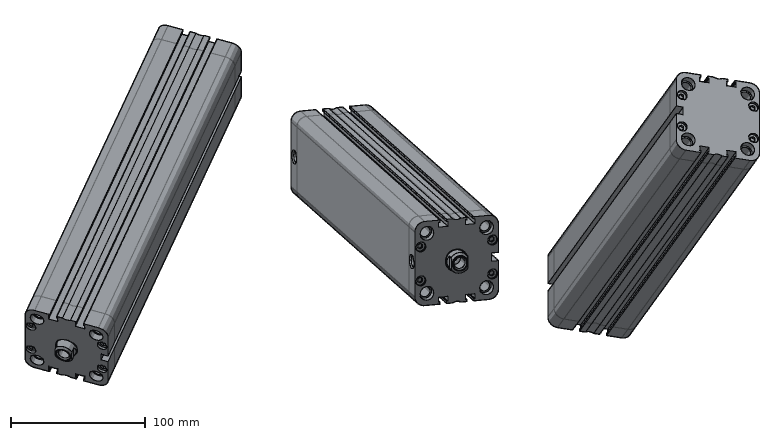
import cadquery as cq
import math


total_length = 303.0
side = 65.5
half = side / 2
corner_radius = 7.5
rod_reach = 7.5
housing_length = total_length - rod_reach
cap_length = 14.5

slot_spacing = 21.2
slot_mouth = 5.5
slot_width = 7.3
slot_lip = 1.8
slot_depth = 5.5

groove_width = 6.5
groove_depth = 1.0

side_slot_width = 6.5
side_slot_depth = 5.5

mount_spacing = 46.7
mount_recess_diameter = 10.5
mount_recess_depth = 5.5
mount_thread_diameter = 8.2
mount_thread_depth = 21.2
mount_through_diameter = 6.7

screw_spacing_x = 56.0
screw_spacing_z = 26.5
screw_recess_diameter = 7.5
screw_recess_depth = 2.0
screw_socket_width = 3.5
screw_socket_depth = 1.8

port_inset = 8.0
port_mouth_diameter = 10.5
port_diameter = 8.5
port_chamfer = (port_mouth_diameter - port_diameter) / 2
port_depth = 9.0
passage_diameter = 3.5
passage_offset = 2.0
passage_depth = 4.5

rod_diameter = 16.0
rod_insert = cap_length
bore_mouth_diameter = 17.3
bore_mouth_depth = 1.2
tip_diameter = 12.0
tip_chamfer_length = 1.2
flat_distance = 13.0
flat_length = 5.0
rod_thread_diameter = 8.5
rod_thread_mouth = 10.5
rod_thread_depth = 12.0
thread_tip_length = 1.2
thread_tip_diameter = 3.5

along_y = cq.Vector(0, 1, 0)


def cylinder_y(diameter, start, length, x=0.0, z=0.0):
    """Cylinder along +Y that begins at Y = start."""
    base = cq.Vector(x, start, z)
    return cq.Workplane(cq.Solid.makeCylinder(diameter / 2, length, base, along_y))


def cone_y(start_diameter, end_diameter, start, length):
    """Cone along +Y on the rod axis."""
    base = cq.Vector(0, start, 0)
    return cq.Workplane(cq.Solid.makeCone(start_diameter / 2, end_diameter / 2, length, base, along_y))


def block(x0, x1, y0, y1, z0, z1):
    """Box between two opposite corners."""
    return cq.Workplane().box(x1 - x0, y1 - y0, z1 - z0, centered=False).translate((x0, y0, z0))


def ends(shape):
    """The shape at the front end and its mirror image at the back end."""
    middle = (0, housing_length / 2, 0)
    return [shape, shape.mirror("XZ", middle)]


def make_section(start, end):
    """Length of housing between two Y positions, with the round groove on its top and bottom."""
    section = block(-half, half, start, end, -half, half).edges("|Y").fillet(corner_radius)
    groove = (
        cq.Workplane("XZ", origin=(0, start, 0))
        .moveTo(-groove_width / 2, half)
        .threePointArc((0, half - groove_depth), (groove_width / 2, half))
        .close()
        .extrude(start - end)
    )
    return section.cut(groove).cut(groove.mirror("XY"))


def slot_cutters():
    """Sensor slots on the top and bottom and the plain side slot, all over the full housing length."""
    floor = half - slot_depth
    cutters = []
    for x in (-slot_spacing / 2, slot_spacing / 2):
        mouth = block(x - slot_mouth / 2, x + slot_mouth / 2, 0, housing_length, floor, half)
        undercut = block(x - slot_width / 2, x + slot_width / 2, 0, housing_length, floor, half - slot_lip)
        slot = mouth.union(undercut)
        cutters += [slot, slot.mirror("XY")]
    cutters.append(block(half - side_slot_depth, half, 0, housing_length,
                         -side_slot_width / 2, side_slot_width / 2))
    return cutters


def mount_hole_cutters():
    """Stepped hole at each corner."""
    cutters = []
    for x in (-mount_spacing / 2, mount_spacing / 2):
        for z in (-mount_spacing / 2, mount_spacing / 2):
            cutters.append(cylinder_y(mount_through_diameter, 0, housing_length, x, z))
            cutters += ends(cylinder_y(mount_thread_diameter, 0, mount_thread_depth, x, z))
            cutters += ends(cylinder_y(mount_recess_diameter, 0, mount_recess_depth, x, z))
    return cutters


def hex_socket_y(x, z):
    """Hexagonal socket below a cap screw recess, with corners toward +Z and -Z."""
    across_corners = screw_socket_width / math.cos(math.pi / 6)
    return (
        cq.Workplane("XZ", origin=(x, 0, z))
        .transformed(rotate=(0, 0, 90))
        .polygon(6, across_corners)
        .extrude(-screw_recess_depth - screw_socket_depth)
    )


def screw_cutters():
    """Recess and hexagonal socket of each cap screw."""
    cutters = []
    for x in (-screw_spacing_x / 2, screw_spacing_x / 2):
        for z in (-screw_spacing_z / 2, screw_spacing_z / 2):
            cutters += ends(cylinder_y(screw_recess_diameter, 0, screw_recess_depth, x, z))
            cutters += ends(hex_socket_y(x, z))
    return cutters


def port_cutters():
    """Chamfered blind port with an air passage in its floor, set toward the middle of the housing."""
    inward = cq.Vector(1, 0, 0)
    mouth = cq.Vector(-half, port_inset, 0)
    passage_start = cq.Vector(-half + port_depth, port_inset + passage_offset, 0)
    solids = [
        cq.Solid.makeCylinder(port_diameter / 2, port_depth, mouth, inward),
        cq.Solid.makeCone(port_mouth_diameter / 2, port_diameter / 2, port_chamfer, mouth, inward),
        cq.Solid.makeCylinder(passage_diameter / 2, passage_depth, passage_start, inward),
    ]
    cutters = []
    for solid in solids:
        cutters += ends(cq.Workplane(solid))
    return cutters


def bore_cutters():
    """Blind rod bore with a wider mouth."""
    return [
        cylinder_y(rod_diameter, 0, rod_insert),
        cylinder_y(bore_mouth_diameter, 0, bore_mouth_depth),
    ]


def make_housing():
    """Profile with a cap at each end; the joint lines stay as edges."""
    tube_end = housing_length - cap_length
    housing = make_section(cap_length, tube_end)
    housing = housing.union(make_section(0, cap_length), clean=False)
    housing = housing.union(make_section(tube_end, housing_length), clean=False)
    cutters = slot_cutters() + mount_hole_cutters() + screw_cutters() + port_cutters() + bore_cutters()
    for cutter in cutters:
        housing = housing.cut(cutter, clean=False)
    return housing.solids()


def make_rod():
    """Piston rod with a chamfered tip, two wrench flats and a threaded hole."""
    chamfer_end = tip_chamfer_length - rod_reach
    rod = cylinder_y(rod_diameter, chamfer_end, rod_insert - chamfer_end)
    rod = rod.union(cone_y(tip_diameter, rod_diameter, -rod_reach, tip_chamfer_length))

    flat_end = flat_length - rod_reach
    radius = rod_diameter / 2
    flat_cut = radius - flat_distance / 2
    flat = (
        cq.Workplane("XY", origin=(0, 0, -radius))
        .polyline([
            (flat_distance / 2, -rod_reach),
            (flat_distance / 2, flat_end),
            (radius, flat_end + flat_cut),
            (radius, -rod_reach),
        ])
        .close()
        .extrude(rod_diameter)
    )
    rod = rod.cut(flat).cut(flat.mirror("YZ"))

    mouth_depth = (rod_thread_mouth - rod_thread_diameter) / 2
    rod = rod.cut(cylinder_y(rod_thread_diameter, -rod_reach, rod_thread_depth))
    rod = rod.cut(cone_y(rod_thread_mouth, rod_thread_diameter, -rod_reach, mouth_depth))
    thread_end = rod_thread_depth - rod_reach
    rod = rod.cut(cone_y(rod_thread_diameter, thread_tip_diameter, thread_end, thread_tip_length))
    return rod.solids()


housing = make_housing()
rod = make_rod()

result = cq.Compound.makeCompound([housing.val(), rod.val()])